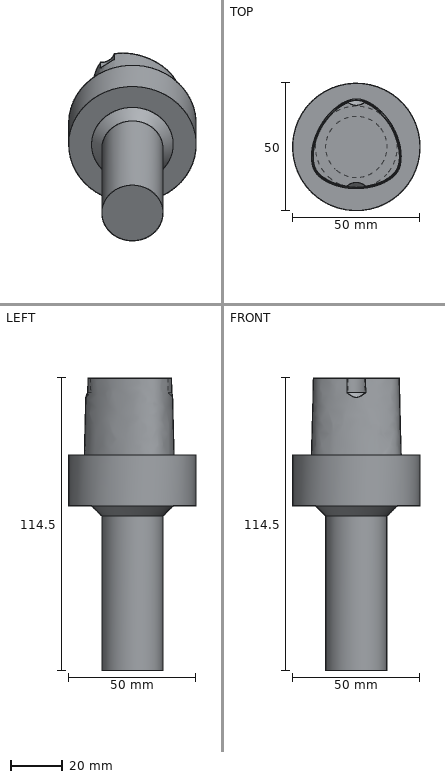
import cadquery as cq
import math

shank_length = 60.5
neck_height = 4.0
flange_height = 20.0
taper_length = 30.0

shank_diameter = 24.0
neck_top_diameter = 32.0
flange_diameter = 49.98

polygon_base_width = 35.2
taper_ratio = 1 / 20
lobe_eccentricity = 1.25
lobe_count = 3
outline_points = 72

notch_radius = 5.2
notch_wall_depth = 5.6
front_notch_inner_y = -13.9
back_notch_inner_y = 16.3

neck_bottom_z = shank_length
flange_bottom_z = neck_bottom_z + neck_height
flange_top_z = flange_bottom_z + flange_height
total_height = flange_top_z + taper_length


def polygon_point(mean_radius, angle):
    """Point of the lobed outline whose normal makes the given angle with +Y, turning towards +X."""
    reach = mean_radius + lobe_eccentricity * math.cos(lobe_count * angle)
    shift = -lobe_count * lobe_eccentricity * math.sin(lobe_count * angle)
    x = reach * math.sin(angle) + shift * math.cos(angle)
    y = reach * math.cos(angle) - shift * math.sin(angle)
    return x, y


def polygon_wire(width, z):
    """Closed smooth outline of the polygon at height z."""
    step = 2 * math.pi / outline_points
    points = [cq.Vector(*polygon_point(width / 2, i * step), z) for i in range(outline_points)]
    return cq.Wire.assembleEdges([cq.Edge.makeSpline(points, periodic=True)])


def make_polygon():
    top_width = polygon_base_width - taper_length * taper_ratio
    base = polygon_wire(polygon_base_width, flange_top_z)
    top = polygon_wire(top_width, total_height)
    return cq.Workplane(obj=cq.Solid.makeLoft([base, top], True))


def make_body():
    """Shank, conical neck and flange turned about Z."""
    profile = [
        (0, 0),
        (shank_diameter / 2, 0),
        (shank_diameter / 2, neck_bottom_z),
        (neck_top_diameter / 2, flange_bottom_z),
        (flange_diameter / 2, flange_bottom_z),
        (flange_diameter / 2, flange_top_z),
        (0, flange_top_z),
    ]
    return cq.Workplane("XZ").polyline(profile).close().revolve(360, (0, 0), (0, 1))


def make_notch_cutter(axis_y):
    """Vertical cylinder with a 45 degree conical tip pointing down."""
    profile = [
        (0, total_height),
        (notch_radius, total_height),
        (notch_radius, total_height - notch_wall_depth),
        (0, total_height - notch_wall_depth - notch_radius),
    ]
    cutter = cq.Workplane("XZ").polyline(profile).close().revolve(360, (0, 0), (0, 1))
    return cutter.translate((0, axis_y, 0))


result = make_body().union(make_polygon())
for notch_axis_y in (front_notch_inner_y - notch_radius, back_notch_inner_y + notch_radius):
    result = result.cut(make_notch_cutter(notch_axis_y))